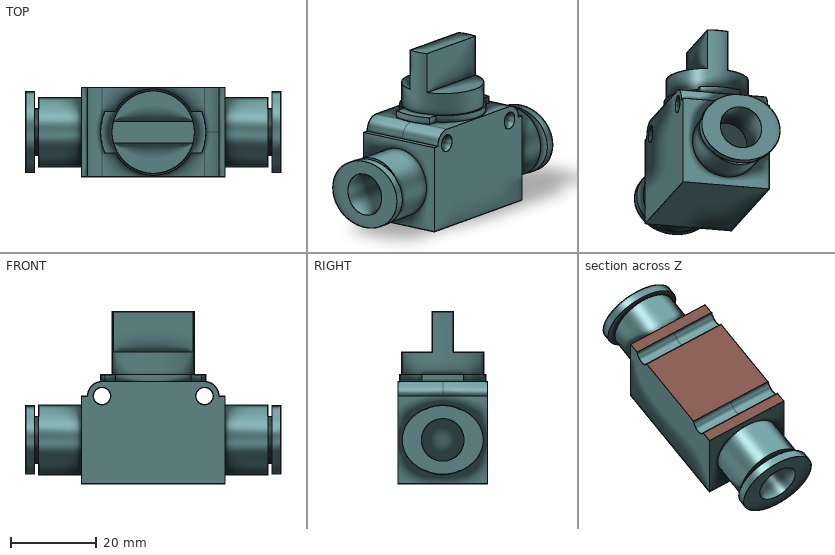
import cadquery as cq

overall_length = 59.75
overall_height = 40.35

body_length = 33.65
body_depth = 21.0
body_height = 23.95
lug_radius = 3.4
mount_hole_diameter = 4.0
mount_hole_x = 12.0
shoulder_z = body_height - lug_radius

port_z = 10.3
sleeve_diameter = 16.4
sleeve_length = 10.05
neck_diameter = 11.0
collar_thickness = 2.1
collar_width = 19.0
collar_height = 16.1
bore_diameter = 10.0
body_end_x = body_length / 2
bore_depth = overall_length / 2 - body_end_x

plate_thickness = 1.6
plate_diameter = 20.25
wing_diameter = 24.7
wing_width = 9.75
plate_top_z = body_height + plate_thickness

knob_diameter = 19.3
knob_base_top_z = 30.85
blade_thickness = 4.95


def make_body():
    """Block with two rounded lugs along its top edges, drilled front to back."""
    block = cq.Workplane("XY").box(body_length, body_depth, shoulder_z, centered=(True, True, False))
    raised_top = (
        cq.Workplane("XY")
        .box(2 * mount_hole_x, body_depth, body_height, centered=(True, True, False))
    )
    lug_plane = cq.Workplane("XZ").pushPoints([(-mount_hole_x, shoulder_z), (mount_hole_x, shoulder_z)])
    lugs = lug_plane.circle(lug_radius).extrude(body_depth / 2, both=True)
    holes = lug_plane.circle(mount_hole_diameter / 2).extrude(body_depth, both=True)
    return block.union(raised_top).union(lugs).cut(holes)


def make_port():
    """Sleeve, neck and oval collar on the +X end, with a blind bore."""
    end_plane = cq.Workplane("YZ", origin=(body_end_x, 0, port_z))
    sleeve = end_plane.circle(sleeve_diameter / 2).extrude(sleeve_length)
    neck = end_plane.circle(neck_diameter / 2).extrude(bore_depth)
    collar = (
        end_plane.workplane(offset=bore_depth - collar_thickness)
        .ellipse(collar_width / 2, collar_height / 2)
        .extrude(collar_thickness)
    )
    bore = end_plane.circle(bore_diameter / 2).extrude(bore_depth)
    return sleeve.union(neck).union(collar).cut(bore)


def make_stop_plate():
    """Round plate with two opposite wings that have concentric ends."""
    plane = cq.Workplane("XY", origin=(0, 0, body_height))
    disc = plane.circle(plate_diameter / 2).extrude(plate_thickness)
    wing_bar = plane.rect(wing_diameter, wing_width).extrude(plate_thickness)
    wing_limit = plane.circle(wing_diameter / 2).extrude(plate_thickness)
    return disc.union(wing_bar.intersect(wing_limit))


def make_knob():
    """Round knob whose upper part is reduced to a straight grip blade."""
    plane = cq.Workplane("XY", origin=(0, 0, plate_top_z))
    blade_height = overall_height - plate_top_z
    base = plane.circle(knob_diameter / 2).extrude(knob_base_top_z - plate_top_z)
    grip_round = plane.circle(knob_diameter / 2).extrude(blade_height)
    grip_bar = plane.rect(knob_diameter, blade_thickness).extrude(blade_height)
    return base.union(grip_round.intersect(grip_bar))


port = make_port()
result = (
    make_body()
    .union(port)
    .union(port.mirror("YZ"))
    .union(make_stop_plate())
    .union(make_knob())
)